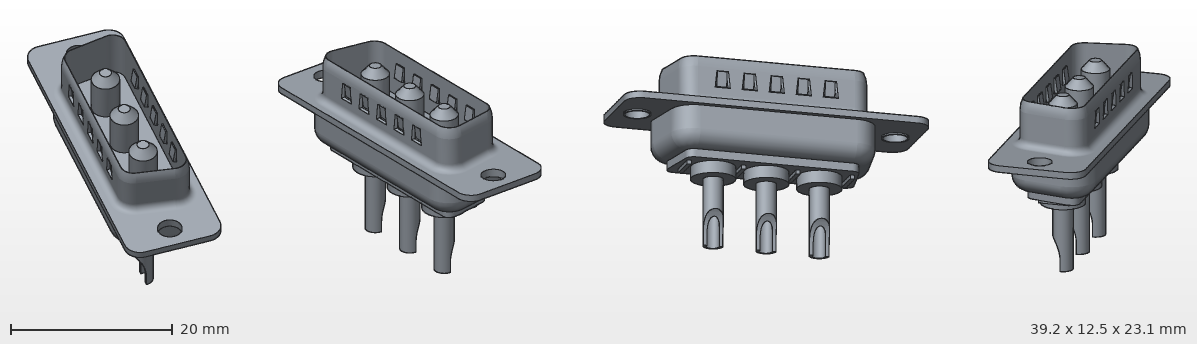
import cadquery as cq
import math


FLANGE_LENGTH = 39.2
FLANGE_WIDTH = 12.5
FLANGE_THICKNESS = 0.85
FLANGE_CORNER_RADIUS = 2.0
HOLE_SPACING = 33.32
HOLE_DIAMETER = 3.05
RING_DIAMETER = 3.45
RING_HEIGHT = 0.2

CORNER_HALF_WIDTH = 10.98
CORNER_HALF_DEPTH = 2.45
SIDE_ANGLE = math.radians(10.0)

SHELL_RADIUS = 2.05
SHELL_WALL = 0.4
SHELL_TOP = 6.8
SHELL_FLOOR = 0.55
FLARE_RADIUS = 0.95
RIM_START = 5.35
RIM_INSET = 0.35

DIMPLE_COUNT = 5
DIMPLE_PITCH = 3.5
DIMPLE_BOTTOM = 2.82
DIMPLE_TOP = 4.98
DIMPLE_LEDGE_RISE = 0.27
RECESS_FACE_WIDTH = 1.25
RECESS_SIDE_SLOPE = 0.75
RECESS_DEPTH_BOTTOM = 0.47
RECESS_DEPTH_TOP = 0.15
BUMP_FACE_WIDTH = 1.45
BUMP_SIDE_SLOPE = 0.1

HOUSING_RADIUS = 3.05
HOUSING_BOTTOM = -5.05
HOUSING_EDGE_RADIUS = 2.0
INSULATOR_RADIUS = HOUSING_RADIUS - HOUSING_EDGE_RADIUS
INSULATOR_BOTTOM = -6.1

PEG_COUNT = 4
PEG_PITCH = 7.0
PEG_WIDTH = 0.55
PEG_DEPTH = 3.92
PEG_BOTTOM = -6.62

CONTACT_COUNT = 3
CONTACT_PITCH = 6.85
COLLAR_DIAMETER = 5.6
COLLAR_BOTTOM = -7.7
PIN_DIAMETER = 3.53
PIN_TIP_DIAMETER = 1.5
PIN_TOP = 6.4
PIN_CONE_HEIGHT = 1.15
TAIL_DIAMETER = 2.55
TAIL_BOTTOM = -16.3
CUP_DIAMETER = 1.65
CUP_OFFSET = 0.2
CUP_DEPTH = 4.3
SCOOP_START = 1.45
SCOOP_TOP = 4.45

SELECTION_MARGIN = 0.05


def spread(count, pitch):
    """Positions of a centred row."""
    return [(i - (count - 1) / 2) * pitch for i in range(count)]


def corner_arc(cx, cy, radius, start, end):
    """Start, middle and end points of a corner arc; angles in radians."""
    return [
        (cx + radius * math.cos(a), cy + radius * math.sin(a))
        for a in (start, (start + end) / 2, end)
    ]


def d_outline(radius, z):
    """Closed D outline, wide towards +Y, on the plane at height z."""
    wide = CORNER_HALF_WIDTH
    narrow = wide - 2 * CORNER_HALF_DEPTH * math.tan(SIDE_ANGLE)
    quarter = math.pi / 2
    arcs = [
        corner_arc(wide, CORNER_HALF_DEPTH, radius, -SIDE_ANGLE, quarter),
        corner_arc(-wide, CORNER_HALF_DEPTH, radius, quarter, 2 * quarter + SIDE_ANGLE),
        corner_arc(-narrow, -CORNER_HALF_DEPTH, radius, 2 * quarter + SIDE_ANGLE, 3 * quarter),
        corner_arc(narrow, -CORNER_HALF_DEPTH, radius, 3 * quarter, 4 * quarter - SIDE_ANGLE),
    ]
    outline = cq.Workplane("XY").workplane(offset=z).moveTo(*arcs[0][0])
    for index, (start, middle, end) in enumerate(arcs):
        if index > 0:
            outline = outline.lineTo(*start)
        outline = outline.threePointArc(middle, end)
    return outline.close()


def d_block(radius, bottom, top):
    return d_outline(radius, bottom).extrude(top - bottom)


def cylinder(x, diameter, bottom, top, y=0):
    base = cq.Workplane("XY", origin=(x, y, bottom))
    return base.circle(diameter / 2).extrude(top - bottom)


def make_flange():
    flange = (
        cq.Workplane("XY")
        .rect(FLANGE_LENGTH, FLANGE_WIDTH)
        .extrude(FLANGE_THICKNESS)
        .edges("|Z")
        .fillet(FLANGE_CORNER_RADIUS)
    )
    for x in (-HOLE_SPACING / 2, HOLE_SPACING / 2):
        flange = flange.union(cylinder(x, RING_DIAMETER, -RING_HEIGHT, FLANGE_THICKNESS))
        flange = flange.cut(cylinder(x, HOLE_DIAMETER, -RING_HEIGHT, FLANGE_THICKNESS))
    return flange


def make_housing():
    housing = d_block(HOUSING_RADIUS, HOUSING_BOTTOM, 0)
    housing = housing.faces("<Z").edges().fillet(HOUSING_EDGE_RADIUS)
    return housing.union(d_block(INSULATOR_RADIUS, INSULATOR_BOTTOM, HOUSING_BOTTOM))


def make_base():
    """Flange and housing with the straight shell and its flared foot."""
    base = make_flange().union(d_block(SHELL_RADIUS, 0, RIM_START))
    half_x = (HOLE_SPACING - RING_DIAMETER) / 2
    half_y = FLANGE_WIDTH / 2 - SELECTION_MARGIN
    low = (-half_x, -half_y, FLANGE_THICKNESS - SELECTION_MARGIN)
    high = (half_x, half_y, FLANGE_THICKNESS + SELECTION_MARGIN)
    foot = cq.selectors.BoxSelector(low, high)
    return base.edges(foot).fillet(FLARE_RADIUS).union(make_housing())


def make_rim():
    """Top of the shell wall, curving in to a thin lip."""
    height = SHELL_TOP - RIM_START
    arc_radius = (height**2 + RIM_INSET**2) / (2 * RIM_INSET)
    half_angle = math.asin(height / arc_radius) / 2
    outer = -CORNER_HALF_DEPTH - SHELL_RADIUS
    arc_middle = (
        outer + arc_radius * (1 - math.cos(half_angle)),
        RIM_START + arc_radius * math.sin(half_angle),
    )
    profile = (
        cq.Workplane("YZ")
        .moveTo(outer, RIM_START)
        .threePointArc(arc_middle, (outer + RIM_INSET, SHELL_TOP))
        .lineTo(outer + SHELL_WALL, SHELL_TOP)
        .lineTo(outer + SHELL_WALL, RIM_START)
        .close()
    )
    return profile.sweep(d_outline(SHELL_RADIUS, RIM_START), transition="right")


def make_dimple(x, start, face_width, side_slope, depth_bottom, depth_top):
    """Wedge pointing to +Y from y = start, deepest at its foot, with a sloping lower ledge."""

    def section(depth):
        face_half = face_width / 2
        root_half = face_half + side_slope * depth
        return [(-root_half, 0), (root_half, 0), (face_half, depth), (-face_half, depth)]

    wedge = (
        cq.Workplane("XY", origin=(x, start, DIMPLE_BOTTOM))
        .polyline(section(depth_bottom))
        .close()
        .workplane(offset=DIMPLE_TOP - DIMPLE_BOTTOM)
        .polyline(section(depth_top))
        .close()
        .loft(ruled=True)
    )
    below_ledge = (
        cq.Workplane("YZ", origin=(x, start, DIMPLE_BOTTOM))
        .polyline([(0, 0), (depth_bottom, DIMPLE_LEDGE_RISE), (depth_bottom, 0)])
        .close()
        .extrude(face_width, both=True)
    )
    return wedge.cut(below_ledge)


def on_both_walls(dimple):
    return dimple.union(dimple.mirror("XZ"))


def add_dimples(body):
    """Push each dimple through the wall: a bump inside and a recess outside."""
    outer = -CORNER_HALF_DEPTH - SHELL_RADIUS
    middle_of_wall = outer + SHELL_WALL / 2
    for x in spread(DIMPLE_COUNT, DIMPLE_PITCH):
        bump = make_dimple(
            x,
            middle_of_wall,
            BUMP_FACE_WIDTH,
            BUMP_SIDE_SLOPE,
            RECESS_DEPTH_BOTTOM + SHELL_WALL / 2,
            RECESS_DEPTH_TOP + SHELL_WALL / 2,
        )
        recess = make_dimple(
            x,
            outer,
            RECESS_FACE_WIDTH,
            RECESS_SIDE_SLOPE,
            RECESS_DEPTH_BOTTOM,
            RECESS_DEPTH_TOP,
        )
        body = body.union(on_both_walls(bump)).cut(on_both_walls(recess))
    return body


def make_scoop(x):
    """Cutter that opens the -Y half of a solder cup with an arc running out at the front."""
    height = SCOOP_TOP - SCOOP_START
    front = TAIL_DIAMETER / 2
    arc_radius = (height**2 + front**2) / (2 * front)
    half_angle = math.asin(height / arc_radius) / 2
    arc_start = TAIL_BOTTOM + SCOOP_START
    arc_middle = (
        -arc_radius * (1 - math.cos(half_angle)),
        arc_start + arc_radius * math.sin(half_angle),
    )
    return (
        cq.Workplane("YZ", origin=(x, 0, 0))
        .moveTo(0, TAIL_BOTTOM)
        .lineTo(0, arc_start)
        .threePointArc(arc_middle, (-front, TAIL_BOTTOM + SCOOP_TOP))
        .lineTo(-front, TAIL_BOTTOM)
        .close()
        .extrude(TAIL_DIAMETER, both=True)
    )


def make_contact(x):
    """Coned mating pin, collar and tail with an open solder cup."""
    cone_inset = (PIN_DIAMETER - PIN_TIP_DIAMETER) / 2
    pin = cylinder(x, PIN_DIAMETER, HOUSING_BOTTOM, PIN_TOP)
    pin = pin.faces(">Z").chamfer(PIN_CONE_HEIGHT, cone_inset)
    collar = cylinder(x, COLLAR_DIAMETER, COLLAR_BOTTOM, INSULATOR_BOTTOM)
    tail = cylinder(x, TAIL_DIAMETER, TAIL_BOTTOM, HOUSING_BOTTOM)
    cup = cylinder(x, CUP_DIAMETER, TAIL_BOTTOM, TAIL_BOTTOM + CUP_DEPTH, CUP_OFFSET)
    tail = tail.cut(cup).cut(make_scoop(x))
    return pin.union(collar).union(tail)


def make_peg(x):
    height = INSULATOR_BOTTOM - PEG_BOTTOM
    peg = cq.Workplane("XY", origin=(x, 0, PEG_BOTTOM))
    return peg.rect(PEG_WIDTH, PEG_DEPTH).extrude(height)


cavity = d_block(SHELL_RADIUS - SHELL_WALL, SHELL_FLOOR, SHELL_TOP)
result = add_dimples(make_base().union(make_rim()).cut(cavity))
for contact_x in spread(CONTACT_COUNT, CONTACT_PITCH):
    result = result.union(make_contact(contact_x))
for peg_x in spread(PEG_COUNT, PEG_PITCH):
    result = result.union(make_peg(peg_x))